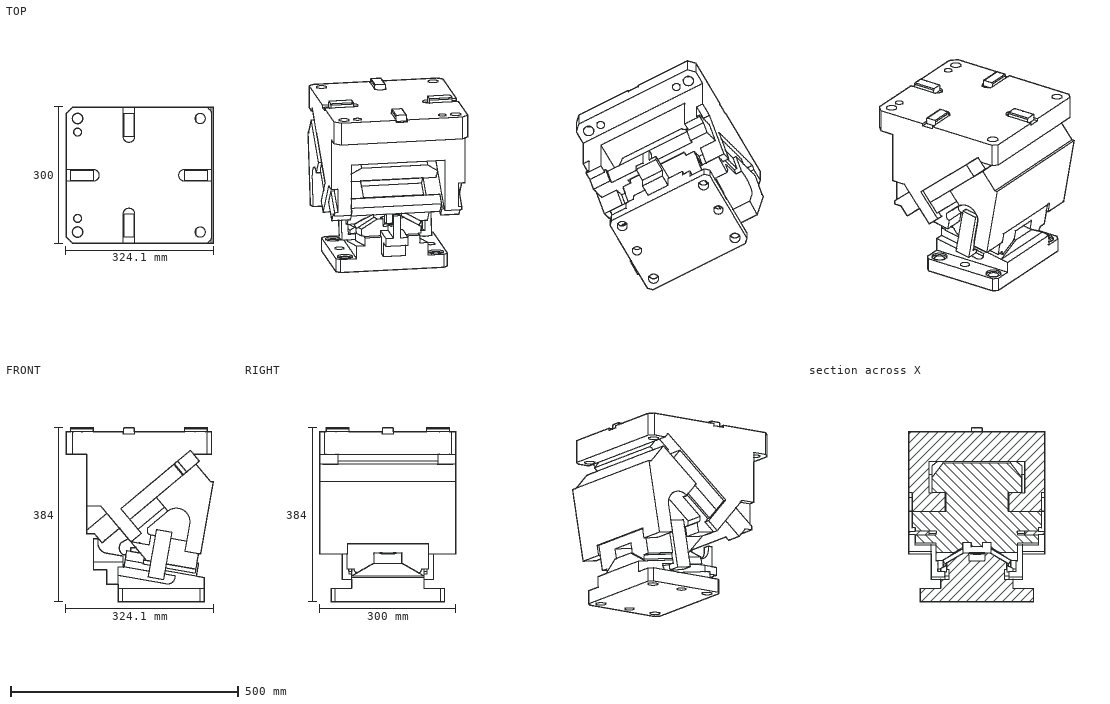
import cadquery as cq
import math


SLIDE_ANGLE = math.radians(40)
RAMP_ANGLE = math.radians(10)
ROOF_SLOPE = math.radians(30)


def line_crossing(angle_a, offset_a, angle_b, offset_b):
    """Point (x, z) where two lines cross, each given by its normal angle and its distance from the origin."""
    spread = math.sin(angle_b - angle_a)
    x = (offset_a * math.sin(angle_b) - offset_b * math.sin(angle_a)) / spread
    z = (offset_b * math.cos(angle_a) - offset_a * math.cos(angle_b)) / spread
    return (x, z)


X_AXIS = 0.0
Z_AXIS = math.pi / 2
U_AXIS = SLIDE_ANGLE
V_AXIS = SLIDE_ANGLE + Z_AXIS
P_AXIS = -RAMP_ANGLE
Q_AXIS = Z_AXIS - RAMP_ANGLE


def slide_point(u, v):
    """Point (x, z) given in slide coordinates."""
    return line_crossing(U_AXIS, u, V_AXIS, v)


def ramp_point(p, q):
    """Point (x, z) given in ramp coordinates."""
    return line_crossing(P_AXIS, p, Q_AXIS, q)


def prism(outline, y_from, y_to):
    """Outline in the XZ plane, given as points or as a closed workplane, swept from y_from to y_to."""
    if not isinstance(outline, cq.Workplane):
        outline = cq.Workplane("XZ").polyline(outline).close()
    return outline.extrude(y_from - y_to).translate((0, y_from, 0))


def wide(outline, half_width):
    """Prism centred on Y = 0."""
    return prism(outline, -half_width, half_width)


def both_sides(outline, y_inner, y_outer):
    """Matching prisms on the +Y and -Y sides."""
    side = prism(outline, y_inner, y_outer)
    return side.union(side.mirror("XZ"))


def slide_rect(u_from, u_to, v_from, v_to):
    corners = [(u_from, v_from), (u_to, v_from), (u_to, v_to), (u_from, v_to)]
    return [slide_point(u, v) for u, v in corners]


def ramp_rect(p_from, p_to, q_from, q_to):
    corners = [(p_from, q_from), (p_to, q_from), (p_to, q_to), (p_from, q_to)]
    return [ramp_point(p, q) for p, q in corners]


def ramp_sweep(section, p_from, p_to):
    """Section given as (y, q) points, swept along the ramp."""
    x_start, z_start = ramp_point(p_from, 0)
    along = (math.cos(RAMP_ANGLE), 0, -math.sin(RAMP_ANGLE))
    plane = cq.Plane(origin=(x_start, 0, z_start), xDir=(0, 1, 0), normal=along)
    return cq.Workplane(plane).polyline(section).close().extrude(p_to - p_from)


FACE_V = 49
RAIL_TOP_V = 80
FRONT_U = 194
LEG_BACK_U = 224
LEG_BOTTOM_V = 9.5
RAIL_END_U = 376
WING_HALF_WIDTH = 150

FOOT_X0, FOOT_X1 = 114.5, 304
FOOT_HALF_WIDTH = 125
FOOT_HEIGHT = 30
FOOT_CHAMFER = 9
FOOT_HOLE_Y = 102
FOOT_BOLT_OFFSET = 72
FOOT_BOLT_DIAMETER = 22
FOOT_BOLT_RECESS_DIAMETER = 33
FOOT_BOLT_RECESS_DEPTH = 4
FOOT_DOWEL_X = 205
FOOT_DOWEL_DIAMETER = 20

DRIVER_HALF_WIDTH = 80
DRIVER_FRONT_Z = 76.5
ROOF_TOP_Q = 134.5
ROOF_TOP_HALF_WIDTH = 30.5
ROOF_P0, ROOF_P1 = 111.5, 272.5
RAIL_HALF_WIDTH = 66.3
NOTCH_END_P = 178
GROOVE_HALF_WIDTH = 61.4
GROOVE_FLOOR_Q, GROOVE_ROOF_Q = 77.7, 98.4
GROOVE_END_P = 226.5
GROOVE_CORNER_RADIUS = 16

ROOF_POCKET_RADIUS = 17.5
ROOF_POCKET_DEPTH = 17
ROOF_POCKET_LENGTH = 45

NOSE_X0, NOSE_X1 = 59.5, 125
NOSE_HALF_WIDTH = 25
NOSE_TOP_Z, NOSE_STEP_Z, NOSE_BOTTOM_Z = 88.5, 70.5, 39
NOSE_STEP_X = 89
FIN_HALF_WIDTH = 8
FIN_TOP_Z = 139.5
FIN_TIP_WIDTH = 10.5
FIN_ARC_RADIUS = 22
FIN_BACK_Z = 101.3


def roof_q(y):
    """Height of the roof flank above the ramp origin."""
    return ROOF_TOP_Q - (y - ROOF_TOP_HALF_WIDTH) * math.tan(ROOF_SLOPE)


EAVES_Q = roof_q(DRIVER_HALF_WIDTH)


def make_driver():
    foot_length = FOOT_X1 - FOOT_X0
    foot_center = (FOOT_X0 + FOOT_X1) / 2
    driver = (
        cq.Workplane("XY").center(foot_center, 0)
        .rect(foot_length, 2 * FOOT_HALF_WIDTH).extrude(FOOT_HEIGHT)
        .edges("|Z").chamfer(FOOT_CHAMFER)
    )

    block_outline = [
        (FOOT_X0, FOOT_HEIGHT),
        (FOOT_X1, FOOT_HEIGHT),
        line_crossing(X_AXIS, FOOT_X1, Q_AXIS, EAVES_Q),
        line_crossing(Z_AXIS, DRIVER_FRONT_Z, Q_AXIS, EAVES_Q),
        (FOOT_X0, DRIVER_FRONT_Z),
    ]
    driver = driver.union(wide(block_outline, DRIVER_HALF_WIDTH))
    roof_section = [
        (-DRIVER_HALF_WIDTH, GROOVE_FLOOR_Q),
        (DRIVER_HALF_WIDTH, GROOVE_FLOOR_Q),
        (DRIVER_HALF_WIDTH, EAVES_Q),
        (ROOF_TOP_HALF_WIDTH, ROOF_TOP_Q),
        (-ROOF_TOP_HALF_WIDTH, ROOF_TOP_Q),
        (-DRIVER_HALF_WIDTH, EAVES_Q),
    ]
    driver = driver.union(ramp_sweep(roof_section, ROOF_P0, ROOF_P1))

    arc_mid = GROOVE_CORNER_RADIUS * (1 - math.sqrt(0.5))
    groove = (
        cq.Workplane("XZ")
        .moveTo(*ramp_point(0, GROOVE_ROOF_Q))
        .lineTo(*ramp_point(0, GROOVE_FLOOR_Q))
        .lineTo(*ramp_point(GROOVE_END_P - GROOVE_CORNER_RADIUS, GROOVE_FLOOR_Q))
        .threePointArc(
            ramp_point(GROOVE_END_P - arc_mid, GROOVE_FLOOR_Q + arc_mid),
            ramp_point(GROOVE_END_P, GROOVE_FLOOR_Q + GROOVE_CORNER_RADIUS),
        )
        .lineTo(*ramp_point(GROOVE_END_P, GROOVE_ROOF_Q))
        .close()
    )
    driver = driver.cut(both_sides(groove, GROOVE_HALF_WIDTH, WING_HALF_WIDTH))
    notch = ramp_rect(0, NOTCH_END_P, GROOVE_ROOF_Q, ROOF_TOP_Q)
    driver = driver.cut(both_sides(notch, RAIL_HALF_WIDTH, WING_HALF_WIDTH))

    pocket_end_p = ROOF_P0 + ROOF_POCKET_LENGTH - ROOF_POCKET_RADIUS
    pocket_x, pocket_z = ramp_point(pocket_end_p, ROOF_TOP_Q)
    up_ramp = (math.sin(RAMP_ANGLE), 0, math.cos(RAMP_ANGLE))
    pocket_plane = cq.Plane(origin=(pocket_x, 0, pocket_z), xDir=(0, 1, 0), normal=up_ramp)
    pocket = cq.Workplane(pocket_plane).circle(ROOF_POCKET_RADIUS).extrude(-ROOF_POCKET_DEPTH)
    pocket_channel = ramp_rect(ROOF_P0, pocket_end_p, ROOF_TOP_Q - ROOF_POCKET_DEPTH, ROOF_TOP_Q)
    driver = driver.cut(pocket).cut(wide(pocket_channel, ROOF_POCKET_RADIUS))

    nose_outline = [
        (NOSE_X0, NOSE_TOP_Z),
        (NOSE_X0, NOSE_STEP_Z),
        (NOSE_STEP_X, NOSE_STEP_Z),
        (NOSE_STEP_X, NOSE_BOTTOM_Z),
        (NOSE_X1, NOSE_BOTTOM_Z),
        (NOSE_X1, NOSE_TOP_Z),
    ]
    driver = driver.union(wide(nose_outline, NOSE_HALF_WIDTH))
    hollow_x = NOSE_X0 + FIN_TIP_WIDTH
    arc_center_x = hollow_x + FIN_ARC_RADIUS
    arc_end_x = arc_center_x - FIN_ARC_RADIUS * math.sin(RAMP_ANGLE)
    arc_end_z = FIN_BACK_Z + (NOSE_X1 - arc_end_x) * math.tan(RAMP_ANGLE)
    arc_center_z = arc_end_z + FIN_ARC_RADIUS * math.cos(RAMP_ANGLE)
    arc_mid_angle = (Z_AXIS - RAMP_ANGLE) / 2
    fin = (
        cq.Workplane("XZ")
        .moveTo(NOSE_X0, NOSE_STEP_Z)
        .lineTo(NOSE_X0, FIN_TOP_Z)
        .lineTo(hollow_x, FIN_TOP_Z)
        .lineTo(hollow_x, arc_center_z)
        .threePointArc(
            (
                arc_center_x - FIN_ARC_RADIUS * math.cos(arc_mid_angle),
                arc_center_z - FIN_ARC_RADIUS * math.sin(arc_mid_angle),
            ),
            (arc_end_x, arc_end_z),
        )
        .lineTo(NOSE_X1, FIN_BACK_Z)
        .lineTo(NOSE_X1, NOSE_STEP_Z)
        .close()
    )
    driver = driver.union(wide(fin, FIN_HALF_WIDTH))

    foot_top = cq.Workplane("XY").workplane(offset=FOOT_HEIGHT)
    bolt_points = [
        (foot_center + x_side * FOOT_BOLT_OFFSET, y_side * FOOT_HOLE_Y)
        for x_side in (-1, 1) for y_side in (-1, 1)
    ]
    dowel_points = [(FOOT_DOWEL_X, y_side * FOOT_HOLE_Y) for y_side in (-1, 1)]
    bolt_holes = foot_top.pushPoints(bolt_points).circle(FOOT_BOLT_DIAMETER / 2).extrude(-FOOT_HEIGHT)
    recesses = (
        foot_top.pushPoints(bolt_points)
        .circle(FOOT_BOLT_RECESS_DIAMETER / 2).extrude(-FOOT_BOLT_RECESS_DEPTH)
    )
    dowel_holes = foot_top.pushPoints(dowel_points).circle(FOOT_DOWEL_DIAMETER / 2).extrude(-FOOT_HEIGHT)
    return driver.cut(bolt_holes).cut(recesses).cut(dowel_holes)


SLIDER_TOP_END_U = 414
SLIDER_CORNER_X, SLIDER_CORNER_Z = 324.13, 264.9
SLIDER_BACK_P = SLIDER_CORNER_X * math.cos(RAMP_ANGLE) - SLIDER_CORNER_Z * math.sin(RAMP_ANGLE)
BODY_HALF_WIDTH = 89
BODY_BOTTOM_Q = 177.9
WING_BOTTOM_Q = 155.4
WING_FRONT_U = 300
WING_LEG_P = 238
HOLLOW_TOP_V = LEG_BOTTOM_V
HOLLOW_RADIUS = 30

LOWER_HALF_WIDTH = 90
LOWER_BOTTOM_Q = 121
LOWER_BACK_P = 268.5
WEAR_PLATE_THICKNESS = 10
WEAR_PLATE_P0 = 152
WEAR_PLATE_OUTER_Y = 70
CHANNEL_HALF_WIDTH = 31
CHANNEL_TOP_Q = 157

SIDE_PAD_HALF_WIDTH = 142.5
SIDE_PAD_BOTTOM_V = 21
TOE_HALF_WIDTH = 136
TOE_BACK_P = 158
TOE_CORNER_RADIUS = 8
TOE_EDGE_X = 178.5

STRAP_P0, STRAP_P1 = 168, 202.5
STRAP_BOTTOM_Q, STRAP_TOP_Q = 85.6, 191.5
STRAP_INNER_Y, STRAP_OUTER_Y = 86, 100.6
STRAP_HOOK_Y = 70.5
STRAP_HOOK_TOP_Q = 97.8

NECK_HALF_WIDTH = 69
NECK_START_U, NECK_END_U = 225, 378
NECK_STEP_V = 59
HEAD_HALF_WIDTH = 99
HEAD_TOP_V = 131
HEAD_END_U = 340
HEAD_CHAMFER = 25

HOOK_HALF_WIDTH = 12.6
HOOK_BACK_X = 142.5
HOOK_NECK_Z = 119
HOOK_BASE_Z = 101
HOOK_NOSE = [(120.5, 130.5), (116.8, 116), (124, 104.5)]


def make_slider():
    top_corner = slide_point(SLIDER_TOP_END_U, FACE_V)
    shoulder = line_crossing(U_AXIS, SLIDER_TOP_END_U, Z_AXIS, SLIDER_CORNER_Z)
    back_corner = (SLIDER_CORNER_X, SLIDER_CORNER_Z)

    body_outline = [
        slide_point(FRONT_U, FACE_V),
        top_corner,
        shoulder,
        back_corner,
        ramp_point(SLIDER_BACK_P, BODY_BOTTOM_Q),
        ramp_point(TOE_BACK_P, BODY_BOTTOM_Q),
        ramp_point(TOE_BACK_P, WING_BOTTOM_Q),
        line_crossing(U_AXIS, FRONT_U, Q_AXIS, WING_BOTTOM_Q),
    ]
    slider = wide(body_outline, BODY_HALF_WIDTH)

    lower_outline = [
        line_crossing(U_AXIS, FRONT_U, Q_AXIS, BODY_BOTTOM_Q),
        ramp_point(LOWER_BACK_P, BODY_BOTTOM_Q),
        ramp_point(LOWER_BACK_P, LOWER_BOTTOM_Q),
        line_crossing(U_AXIS, FRONT_U, Q_AXIS, LOWER_BOTTOM_Q),
    ]
    vee_rise = WEAR_PLATE_THICKNESS / math.cos(ROOF_SLOPE)
    vee_q_inner = roof_q(CHANNEL_HALF_WIDTH) + vee_rise
    vee_q_outer = roof_q(LOWER_HALF_WIDTH) + vee_rise
    vee_section = [
        (-LOWER_HALF_WIDTH, vee_q_outer),
        (-CHANNEL_HALF_WIDTH, vee_q_inner),
        (-CHANNEL_HALF_WIDTH, CHANNEL_TOP_Q),
        (CHANNEL_HALF_WIDTH, CHANNEL_TOP_Q),
        (CHANNEL_HALF_WIDTH, vee_q_inner),
        (LOWER_HALF_WIDTH, vee_q_outer),
    ]
    lower_body = wide(lower_outline, LOWER_HALF_WIDTH)
    slider = slider.union(lower_body).cut(ramp_sweep(vee_section, 0, SLIDER_BACK_P))

    plate_shift_y = WEAR_PLATE_THICKNESS * math.sin(ROOF_SLOPE)
    plate_shift_q = WEAR_PLATE_THICKNESS * math.cos(ROOF_SLOPE)
    outer_q = roof_q(WEAR_PLATE_OUTER_Y)
    for side in (-1, 1):
        plate_section = [
            (side * CHANNEL_HALF_WIDTH, roof_q(CHANNEL_HALF_WIDTH)),
            (side * WEAR_PLATE_OUTER_Y, outer_q),
            (side * (WEAR_PLATE_OUTER_Y + plate_shift_y), outer_q + plate_shift_q),
            (side * CHANNEL_HALF_WIDTH, vee_q_inner),
        ]
        slider = slider.union(ramp_sweep(plate_section, WEAR_PLATE_P0, LOWER_BACK_P))

    arch_x, arch_z = line_crossing(
        P_AXIS, WING_LEG_P - HOLLOW_RADIUS, V_AXIS, HOLLOW_TOP_V - HOLLOW_RADIUS
    )
    arch_mid_angle = (V_AXIS + P_AXIS) / 2
    wing = (
        cq.Workplane("XZ")
        .moveTo(*slide_point(WING_FRONT_U, FACE_V))
        .lineTo(*top_corner)
        .lineTo(*shoulder)
        .lineTo(*back_corner)
        .lineTo(*ramp_point(SLIDER_BACK_P, WING_BOTTOM_Q))
        .lineTo(*ramp_point(WING_LEG_P, WING_BOTTOM_Q))
        .lineTo(arch_x + HOLLOW_RADIUS * math.cos(P_AXIS), arch_z + HOLLOW_RADIUS * math.sin(P_AXIS))
        .threePointArc(
            (
                arch_x + HOLLOW_RADIUS * math.cos(arch_mid_angle),
                arch_z + HOLLOW_RADIUS * math.sin(arch_mid_angle),
            ),
            (arch_x + HOLLOW_RADIUS * math.cos(V_AXIS), arch_z + HOLLOW_RADIUS * math.sin(V_AXIS)),
        )
        .lineTo(*slide_point(WING_FRONT_U, HOLLOW_TOP_V))
        .close()
    )
    slider = slider.union(both_sides(wing, BODY_HALF_WIDTH, WING_HALF_WIDTH))

    side_pad = slide_rect(LEG_BACK_U, WING_FRONT_U, SIDE_PAD_BOTTOM_V, FACE_V)
    lower_pad = slide_rect(LEG_BACK_U, WING_FRONT_U, HOLLOW_TOP_V, SIDE_PAD_BOTTOM_V)
    toe_top = line_crossing(X_AXIS, TOE_EDGE_X, V_AXIS, HOLLOW_TOP_V)
    toe_edge_bottom = line_crossing(X_AXIS, TOE_EDGE_X, Q_AXIS, BODY_BOTTOM_Q)
    toe_outline = [
        line_crossing(V_AXIS, LEG_BOTTOM_V, Q_AXIS, WING_BOTTOM_Q),
        ramp_point(TOE_BACK_P, WING_BOTTOM_Q),
        ramp_point(TOE_BACK_P, BODY_BOTTOM_Q),
        toe_edge_bottom,
        toe_top,
    ]
    slider = slider.union(both_sides(side_pad, BODY_HALF_WIDTH, SIDE_PAD_HALF_WIDTH))
    slider = slider.union(both_sides(lower_pad, BODY_HALF_WIDTH, TOE_HALF_WIDTH))
    toe_corner = cq.NearestToPointSelector((toe_edge_bottom[0], TOE_HALF_WIDTH, toe_edge_bottom[1]))
    toe = prism(toe_outline, BODY_HALF_WIDTH, TOE_HALF_WIDTH)
    toe = toe.edges("|Y").edges(toe_corner).fillet(TOE_CORNER_RADIUS)
    slider = slider.union(toe).union(toe.mirror("XZ"))

    strap = ramp_rect(STRAP_P0, STRAP_P1, STRAP_BOTTOM_Q, STRAP_TOP_Q)
    strap_hook = ramp_rect(STRAP_P0, STRAP_P1, STRAP_BOTTOM_Q, STRAP_HOOK_TOP_Q)
    slider = slider.union(both_sides(strap, STRAP_INNER_Y, STRAP_OUTER_Y))
    slider = slider.union(both_sides(strap_hook, STRAP_HOOK_Y, STRAP_OUTER_Y))

    neck_step = slide_rect(FRONT_U, NECK_START_U, FACE_V, NECK_STEP_V)
    neck = slide_rect(NECK_START_U, NECK_END_U, FACE_V, RAIL_TOP_V)
    head = wide(slide_rect(LEG_BACK_U, HEAD_END_U, RAIL_TOP_V, HEAD_TOP_V), HEAD_HALF_WIDTH)
    square_to_slide = (-math.sin(SLIDE_ANGLE), 0, math.cos(SLIDE_ANGLE))
    head_top = cq.DirectionMinMaxSelector(cq.Vector(*square_to_slide), True)
    head = head.faces(head_top).edges("not |Y").chamfer(HEAD_CHAMFER)
    slider = slider.union(wide(neck_step, NECK_HALF_WIDTH)).union(wide(neck, NECK_HALF_WIDTH)).union(head)

    hook = (
        cq.Workplane("XZ")
        .moveTo(*line_crossing(U_AXIS, FRONT_U, Z_AXIS, FIN_TOP_Z))
        .lineTo(*HOOK_NOSE[0])
        .threePointArc(HOOK_NOSE[1], HOOK_NOSE[2])
        .lineTo(HOOK_BACK_X, HOOK_BASE_Z)
        .lineTo(HOOK_BACK_X, HOOK_NECK_Z)
        .lineTo(*line_crossing(U_AXIS, FRONT_U, Z_AXIS, HOOK_NECK_Z))
        .lineTo(*ramp_point(TOE_BACK_P, CHANNEL_TOP_Q))
        .close()
    )
    return slider.union(wide(hook, HOOK_HALF_WIDTH))


PLATE_LENGTH = 320
PLATE_BOTTOM_Z, PLATE_TOP_Z = 325, 375
PLATE_FRONT_CHAMFER, PLATE_BACK_CHAMFER = 14, 10
PLATE_BOLT_X = [25, 295]
PLATE_BOLT_Y = 125
PLATE_BOLT_DIAMETER = 22.5
PLATE_DOWEL_Y = 95
PLATE_DOWEL_DIAMETER = 17

KEY_WIDTH, KEY_LENGTH = 24.5, 51
KEY_BEVEL_WIDTH, KEY_BEVEL_HEIGHT = 1.2, 3
KEY_TOP_Z = 384
KEYWAY_WIDTH, KEYWAY_DEPTH = 25.5, 5
KEYWAY_LENGTH_X, KEYWAY_LENGTH_Y = 72.5, 77.5
KEY_AXIS_X = 138
KEY_SETBACK_X, KEY_SETBACK_Y = 9, 14

HOLDER_FRONT_X = 45
LEG_SHOULDER_Z = 211
CAVITY_HALF_WIDTH = 105
CAVITY_TOP_Z = 265
HEAD_CLEARANCE = 1
NOTCH_END_U = 424
ARM_HALF_WIDTH = 135
ARM_BOTTOM_Z = 150
FOOT_BLOCK_U0 = 144
FOOT_BLOCK_TOP_V = 92
RAIL_OUTER_Y = SIDE_PAD_HALF_WIDTH
WINDOW_HALF_WIDTH = 70
WINDOW_START_U = 179
CROSS_BAR_U0 = 154
CROSS_BAR_TOP_V = 79
CROSS_BAR_HALF_WIDTH = 101
STOP_START_U = 387
STOP_HALF_WIDTH = 110


def make_key_seat(reach, keyway_length, setback):
    """Keyway cutter and key for a seat whose outer end is on the -X side of the local origin."""
    straight = keyway_length - KEYWAY_WIDTH / 2
    floor_z = PLATE_TOP_Z - KEYWAY_DEPTH
    level = cq.Workplane("XY").workplane(offset=floor_z)
    keyway = level.center(reach + straight / 2, 0).rect(straight, KEYWAY_WIDTH).extrude(KEYWAY_DEPTH)
    keyway = keyway.union(
        level.center(reach + straight, 0).circle(KEYWAY_WIDTH / 2).extrude(KEYWAY_DEPTH)
    )
    half_base = KEY_WIDTH / 2
    half_top = half_base - KEY_BEVEL_WIDTH
    bevel_z = KEY_TOP_Z - KEY_BEVEL_HEIGHT
    key_section = [
        (-half_base, floor_z),
        (half_base, floor_z),
        (half_base, bevel_z),
        (half_top, KEY_TOP_Z),
        (-half_top, KEY_TOP_Z),
        (-half_base, bevel_z),
    ]
    key = cq.Workplane("YZ").workplane(offset=reach + setback).polyline(key_section).close()
    key = key.extrude(KEY_LENGTH)
    return keyway, key


def make_holder():
    plate = cq.Workplane("XY").workplane(offset=PLATE_BOTTOM_Z).center(PLATE_LENGTH / 2, 0)
    plate = plate.rect(PLATE_LENGTH, 2 * WING_HALF_WIDTH).extrude(PLATE_TOP_Z - PLATE_BOTTOM_Z)
    plate = plate.edges("|Z and <X").chamfer(PLATE_FRONT_CHAMFER)
    plate = plate.edges("|Z and >X").chamfer(PLATE_BACK_CHAMFER)
    leg_shoulder = line_crossing(U_AXIS, FRONT_U, Z_AXIS, LEG_SHOULDER_Z)
    body_outline = [
        (HOLDER_FRONT_X, PLATE_BOTTOM_Z),
        (HOLDER_FRONT_X, LEG_SHOULDER_Z),
        leg_shoulder,
        slide_point(FRONT_U, LEG_BOTTOM_V),
        slide_point(LEG_BACK_U, LEG_BOTTOM_V),
        slide_point(LEG_BACK_U, RAIL_TOP_V),
        line_crossing(V_AXIS, RAIL_TOP_V, Z_AXIS, PLATE_BOTTOM_Z),
    ]
    holder = plate.union(wide(body_outline, WING_HALF_WIDTH))

    holder = holder.cut(wide(slide_rect(LEG_BACK_U, NOTCH_END_U, FACE_V, RAIL_TOP_V), WING_HALF_WIDTH))
    cavity = [(0, 0), (PLATE_LENGTH, 0), (PLATE_LENGTH, CAVITY_TOP_Z), (0, CAVITY_TOP_Z)]
    holder = holder.cut(wide(cavity, CAVITY_HALF_WIDTH))
    head_room = slide_rect(
        LEG_BACK_U, HEAD_END_U + HEAD_CLEARANCE, RAIL_TOP_V, HEAD_TOP_V + HEAD_CLEARANCE
    )
    holder = holder.cut(wide(head_room, CAVITY_HALF_WIDTH))

    block_front = line_crossing(X_AXIS, HOLDER_FRONT_X, V_AXIS, FOOT_BLOCK_TOP_V)
    arm_outline = [
        (HOLDER_FRONT_X, LEG_SHOULDER_Z),
        block_front,
        slide_point(FRONT_U, FOOT_BLOCK_TOP_V),
        leg_shoulder,
    ]
    block_outline = [
        block_front,
        (HOLDER_FRONT_X, ARM_BOTTOM_Z),
        line_crossing(U_AXIS, FOOT_BLOCK_U0, Z_AXIS, ARM_BOTTOM_Z),
        slide_point(FOOT_BLOCK_U0, FACE_V),
        slide_point(FRONT_U, FACE_V),
        slide_point(FRONT_U, FOOT_BLOCK_TOP_V),
    ]
    holder = holder.union(both_sides(arm_outline, CAVITY_HALF_WIDTH, ARM_HALF_WIDTH))
    holder = holder.union(both_sides(block_outline, CAVITY_HALF_WIDTH, RAIL_OUTER_Y))

    rail = slide_rect(WINDOW_START_U, RAIL_END_U, FACE_V, RAIL_TOP_V)
    rail_front = slide_rect(FOOT_BLOCK_U0, WINDOW_START_U, FACE_V, RAIL_TOP_V)
    cross_bar = slide_rect(CROSS_BAR_U0, WINDOW_START_U, FACE_V, CROSS_BAR_TOP_V)
    holder = holder.union(both_sides(rail, WINDOW_HALF_WIDTH, RAIL_OUTER_Y))
    holder = holder.union(both_sides(rail_front, CROSS_BAR_HALF_WIDTH, RAIL_OUTER_Y))
    holder = holder.union(wide(cross_bar, CROSS_BAR_HALF_WIDTH))

    stop = slide_rect(STOP_START_U, NOTCH_END_U, FACE_V, RAIL_TOP_V)
    holder = holder.union(wide(stop, STOP_HALF_WIDTH))

    plate_base = cq.Workplane("XY").workplane(offset=PLATE_BOTTOM_Z)
    plate_thickness = PLATE_TOP_Z - PLATE_BOTTOM_Z
    bolt_points = [(x, side * PLATE_BOLT_Y) for x in PLATE_BOLT_X for side in (-1, 1)]
    dowel_points = [(PLATE_BOLT_X[0], side * PLATE_DOWEL_Y) for side in (-1, 1)]
    bolt_holes = plate_base.pushPoints(bolt_points).circle(PLATE_BOLT_DIAMETER / 2).extrude(plate_thickness)
    dowel_holes = plate_base.pushPoints(dowel_points).circle(PLATE_DOWEL_DIAMETER / 2)
    dowel_holes = dowel_holes.extrude(plate_thickness)
    holder = holder.cut(bolt_holes).cut(dowel_holes)

    key_seats = [
        (0, -KEY_AXIS_X, KEYWAY_LENGTH_X, KEY_SETBACK_X),
        (180, KEY_AXIS_X - PLATE_LENGTH, KEYWAY_LENGTH_X, KEY_SETBACK_X),
        (90, -WING_HALF_WIDTH, KEYWAY_LENGTH_Y, KEY_SETBACK_Y),
        (270, -WING_HALF_WIDTH, KEYWAY_LENGTH_Y, KEY_SETBACK_Y),
    ]
    for turn, reach, keyway_length, setback in key_seats:
        keyway, key = [
            shape.rotate((0, 0, 0), (0, 0, 1), turn).translate((KEY_AXIS_X, 0, 0))
            for shape in make_key_seat(reach, keyway_length, setback)
        ]
        holder = holder.cut(keyway).union(key)
    return holder


driver = make_driver()
slider = make_slider()
holder = make_holder()
result = cq.Compound.makeCompound([*driver.solids().vals(), *slider.solids().vals(), *holder.solids().vals()])